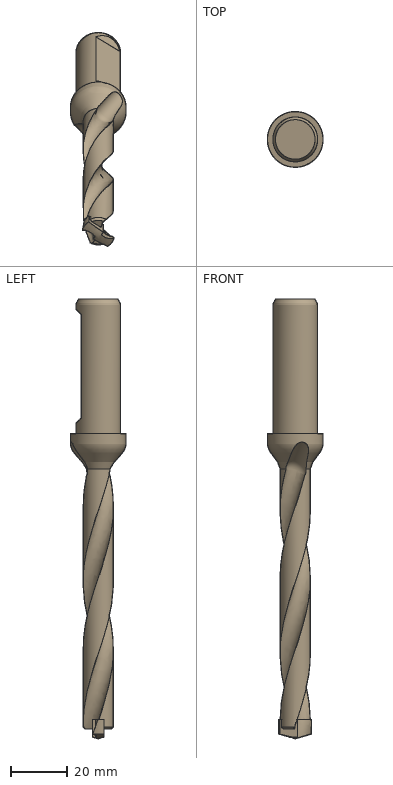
import cadquery as cq
import math

total_height = 157.0
flute_top_z = 96.1
neck_z = 96.4
cone_bottom_z = 98.8
cone_top_z = 102.2
collar_bottom_z = 105.2
collar_top_z = 109.0

body_radius = 5.42
shank_radius = 8.0
collar_radius = 9.97
cone_bottom_radius = 6.3
cone_top_radius = 8.8

shank_chamfer_width = 0.8
shank_chamfer_height = 1.5
shank_lead_in_width = 0.2
shank_lead_in_height = 0.6
flat_y = 6.1
flat_bottom_z = 114.5
flat_top_z = 151.5
flat_ramp_height = 1.9

flute_count = 2
flute_radius = 3.8
flute_center_radius = 5.0
flute_lead = 102.0
flute_top_angle = -86.0
runout_tilt = 46.0
runout_length = 25.1

insert_radius = 5.89
insert_thickness = 4.2
insert_top_z = 6.9
point_height = 1.7
web_edge_x = 0.8
body_bottom_z = 3.5
body_chamfer = 0.8


def make_turned_body():
    """Body, cone, collar and shank turned about the Z axis."""
    chamfer_radius = shank_radius - shank_lead_in_width
    chamfer_bottom_z = total_height - shank_chamfer_height
    profile = (
        cq.Workplane("XZ")
        .moveTo(0, body_bottom_z)
        .lineTo(body_radius - body_chamfer, body_bottom_z)
        .lineTo(body_radius, body_bottom_z + body_chamfer)
        .lineTo(body_radius, neck_z)
        .lineTo(cone_bottom_radius, cone_bottom_z)
        .lineTo(cone_top_radius, cone_top_z)
        .tangentArcPoint((collar_radius, collar_bottom_z), relative=False)
        .lineTo(collar_radius, collar_top_z)
        .lineTo(shank_radius, collar_top_z)
        .lineTo(shank_radius, chamfer_bottom_z - shank_lead_in_height)
        .lineTo(chamfer_radius, chamfer_bottom_z)
        .lineTo(chamfer_radius - shank_chamfer_width, total_height)
        .lineTo(0, total_height)
        .close()
    )
    return profile.revolve(360, (0, 0, 0), (0, 1, 0))


def make_flat_cutter():
    """Clamping flat on the +Y side of the shank, with a ramp at each end."""
    ramp_run = flat_ramp_height * (collar_radius - flat_y) / (shank_radius - flat_y)
    return (
        cq.Workplane("YZ")
        .moveTo(flat_y, flat_bottom_z)
        .lineTo(flat_y, flat_top_z)
        .lineTo(collar_radius, flat_top_z + ramp_run)
        .lineTo(collar_radius, flat_bottom_z - ramp_run)
        .close()
        .extrude(shank_radius, both=True)
    )


def make_helical_groove():
    """Circle swept up a flute by turning it about the Z axis."""
    twist = 360 * flute_top_z / flute_lead
    bottom_angle = math.radians(flute_top_angle - twist)
    profile = cq.Wire.makeCircle(
        flute_radius,
        cq.Vector(
            flute_center_radius * math.cos(bottom_angle), flute_center_radius * math.sin(bottom_angle), 0
        ),
        cq.Vector(0, 0, 1),
    )
    groove = cq.Solid.extrudeLinearWithRotation(
        profile, [], cq.Vector(0, 0, 0), cq.Vector(0, 0, flute_top_z), twist
    )
    return cq.Workplane(groove)


def make_runout():
    """Ball end of a flute and the straight channel leaning outwards from it into the collar."""
    helix_slope = 2 * math.pi * flute_center_radius / flute_lead
    start = cq.Vector(flute_center_radius, 0, flute_top_z)
    leaning_axis = cq.Vector(math.tan(math.radians(runout_tilt)), helix_slope, 1)
    channel = cq.Solid.makeCylinder(flute_radius, runout_length, start, leaning_axis)
    ball = cq.Workplane("XY").sphere(flute_radius).translate(start)
    return ball.union(cq.Workplane(channel)).rotate((0, 0, 0), (0, 0, 1), flute_top_angle)


def make_insert_groove(groove):
    """Front flute through the insert, kept off the web beside the point."""
    web_limit = cq.Workplane("XY").box(
        insert_radius, 2 * insert_radius, insert_top_z, centered=(False, True, False)
    )
    return groove.intersect(web_limit.translate((web_edge_x, 0, 0)))


def make_insert_blank():
    """Flat insert with a round outside and a conical point."""
    blank = (
        cq.Workplane("XZ")
        .lineTo(insert_radius, point_height)
        .lineTo(insert_radius, insert_top_z)
        .lineTo(0, insert_top_z)
        .close()
        .revolve(360, (0, 0, 0), (0, 1, 0))
    )
    return blank.intersect(make_slab())


def make_slab():
    """Plate across the body that bounds the insert and forms its slot."""
    return cq.Workplane("XY").box(
        2 * collar_radius, insert_thickness, insert_top_z, centered=(True, True, False)
    )


holder = make_turned_body().cut(make_flat_cutter()).cut(make_slab())
insert = make_insert_blank()
groove = make_helical_groove()
flute = groove.union(make_runout())
insert_groove = make_insert_groove(groove)
for flute_index in range(flute_count):
    flute_angle = 360 / flute_count * flute_index
    holder = holder.cut(flute.rotate((0, 0, 0), (0, 0, 1), flute_angle))
    insert = insert.cut(insert_groove.rotate((0, 0, 0), (0, 0, 1), flute_angle))

result = cq.Compound.makeCompound([holder.val(), insert.val()])